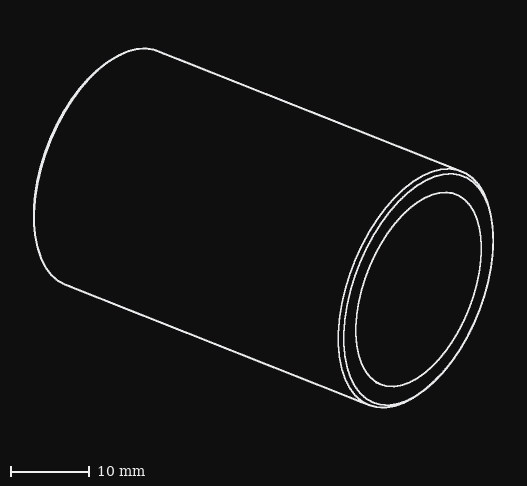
import cadquery as cq

length = 50.0
outer_diameter = 32.0
bore_diameter = 26.0
rim_chamfer = 0.5


def make_cylinder(diameter):
    """Full-length cylinder along X, centred on the origin."""
    end_plane = cq.Workplane("YZ").workplane(offset=-length / 2)
    return end_plane.circle(diameter / 2).extrude(length)


def make_sleeve():
    """Hollow cylinder with a through bore and chamfered outer rims."""
    body = make_cylinder(outer_diameter).faces("<X or >X").edges().chamfer(rim_chamfer)
    return body.cut(make_cylinder(bore_diameter))


result = make_sleeve()